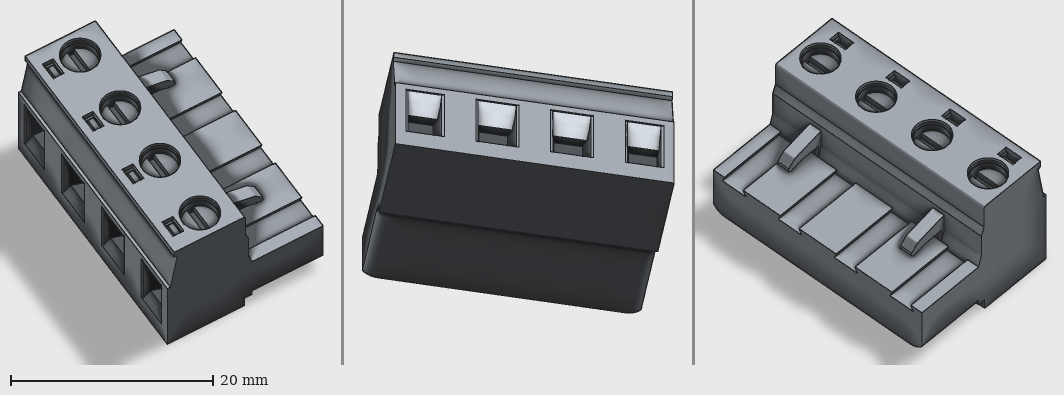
import cadquery as cq


LENGTH = 28.0
DEPTH = 18.1
HEIGHT = 15.05
MID_X = LENGTH / 2

POLES = 4
PITCH = 7.5
FIRST_POLE_X = MID_X - PITCH * (POLES - 1) / 2
POLE_XS = [FIRST_POLE_X + i * PITCH for i in range(POLES)]

SHOULDER_Z = 9.45
SHOULDER_Y = 0.36
SLOPE_TOP_Y = 1.15
SLOPE_TOP_Z = 14.1
EAVE_Y = 0.8
EAVE_Z = 14.3
REAR_Y = 9.05
REAR_EDGE_RADIUS = 0.3
REAR_BULGE_Y = 9.45
REAR_BULGE_TOP_Z = 11.05
REAR_BULGE_BOTTOM_Z = 8.1
REAR_TAPER_TOP_Z = 12.07
STEP_Y = 8.95

NOSE_START_Y = 9.84
NOSE_TOP_Z = 6.82
NOSE_STEP_Z = 1.26
NOSE_SIDE_Z = 1.86
NOSE_BOTTOM_Z = 1.03
NOSE_ROUND_RUN = 1.6

GROOVE_WIDTH = 2.55
GROOVE_DEPTH = 0.7
GROOVE_UNDERCUT = 0.25

LEVER_WIDTH = 1.5
LEVER_OFFSET = 8.25
LEVER_ROOT_TOP_Z = 10.39
LEVER_BOTTOM_Z = 8.45
LEVER_KNEE_START = (13.1, 9.5)
LEVER_KNEE_MID = (13.3, 9.43)
LEVER_KNEE_END = (13.45, 9.3)
LEVER_TIP_TOP = (14.17, 8.62)
LEVER_TIP_MID = (14.2, 8.3)
LEVER_TIP_BOTTOM = (13.95, 8.08)
LEVER_HOOK_BACK = (13.5, 8.08)
LEVER_HOOK_BEND = (12.83, 8.32)
LEVER_HOOK_ROOT_Y = 12.1

ENTRY_WIDTH = 4.32
ENTRY_BOTTOM_Z = 2.17
ENTRY_TOP_Z = 8.65
ENTRY_DEPTH = 2.2
MOUTH_BEVEL = 0.24
MOUTH_BEVEL_DEPTH = 0.14
SILL_Y = 0.32
SILL_Z = 2.5
FLOOR_Y = 0.91
FLOOR_Z = 2.97
LINTEL_Y = 0.8
LINTEL_Z = 7.4
CEILING_Y = 1.35
CEILING_Z = 6.3
END_WALL = 1.05
ENTRY_WALL_BENDS = [(1.89, 0.75), (1.73, 1.33), (1.43, ENTRY_DEPTH)]

SCREW_Y = 5.48
HOLE_RADIUS = 2.05
HOLE_THROAT_RADIUS = 1.95
HOLE_CHAMFER_DEPTH = 0.2
HOLE_THROAT_DEPTH = 0.6
SCREW_RADIUS = 1.86
SCREW_TOP_DEPTH = 1.45
SLOT_WIDTH = 0.8
SLOT_DEPTH = 0.8

POCKET_Y_MIN = 1.73
POCKET_Y_MAX = 2.97
POCKET_WIDTH = 2.04
POCKET_DEPTH = 0.65
WELL_WIDTH = 1.58
WELL_Y_MAX = 2.85
WELL_LEVEL_DEPTH = 0.75
WELL_BEND_Y = 2.25
WELL_DEPTH = 1.75
WELL_BOW_Y = 1.93
WELL_BOW_DEPTH = 1.1


def extrude_along_x(points, x_min, x_max):
    """Closed YZ outline extruded between two X positions."""
    outline = cq.Workplane("YZ", origin=(x_min, 0, 0)).polyline(points).close()
    return outline.extrude(x_max - x_min)


def box_between(x_range, y_range, z_range):
    """Axis-aligned box from its limits."""
    sizes = [hi - lo for lo, hi in (x_range, y_range, z_range)]
    corner = (x_range[0], y_range[0], z_range[0])
    return cq.Workplane("XY", origin=corner).box(*sizes, centered=False)


def make_housing():
    profile = [
        (0, 0),
        (0, SHOULDER_Z),
        (SHOULDER_Y, SHOULDER_Z),
        (SLOPE_TOP_Y, SLOPE_TOP_Z),
        (EAVE_Y, EAVE_Z),
        (EAVE_Y, HEIGHT),
        (REAR_Y, HEIGHT),
        (REAR_Y, REAR_TAPER_TOP_Z),
        (REAR_BULGE_Y, REAR_BULGE_TOP_Z),
        (REAR_BULGE_Y, REAR_BULGE_BOTTOM_Z),
        (NOSE_START_Y, NOSE_TOP_Z),
        (NOSE_START_Y, NOSE_STEP_Z),
        (STEP_Y, NOSE_STEP_Z),
        (STEP_Y, 0),
    ]
    housing = extrude_along_x(profile, 0, LENGTH)
    top_rear_edge = cq.selectors.NearestToPointSelector((MID_X, REAR_Y, HEIGHT))
    return housing.edges(top_rear_edge).fillet(REAR_EDGE_RADIUS)


def make_nose():
    right_half = (
        cq.Workplane("XZ", origin=(0, DEPTH, 0))
        .moveTo(MID_X, NOSE_BOTTOM_Z)
        .lineTo(LENGTH - NOSE_ROUND_RUN, NOSE_BOTTOM_Z)
        .tangentArcPoint((LENGTH, NOSE_SIDE_Z), relative=False)
        .lineTo(LENGTH, NOSE_TOP_Z)
        .lineTo(MID_X, NOSE_TOP_Z)
        .close()
        .extrude(DEPTH - NOSE_START_Y)
    )
    return right_half.union(right_half.mirror("YZ", (MID_X, 0, 0)))


def make_groove(pole_x):
    half_top = GROOVE_WIDTH / 2
    half_floor = half_top + GROOVE_UNDERCUT
    floor_z = NOSE_TOP_Z - GROOVE_DEPTH
    section = [
        (pole_x - half_top, NOSE_TOP_Z),
        (pole_x - half_floor, floor_z),
        (pole_x + half_floor, floor_z),
        (pole_x + half_top, NOSE_TOP_Z),
    ]
    plane = cq.Workplane("XZ", origin=(0, DEPTH, 0))
    return plane.polyline(section).close().extrude(DEPTH - NOSE_START_Y)


def make_lever(centre_x):
    """Latch arm reaching over the nose, with a rounded hooked tip."""
    outline = (
        cq.Workplane("YZ", origin=(centre_x - LEVER_WIDTH / 2, 0, 0))
        .moveTo(REAR_Y, NOSE_TOP_Z)
        .lineTo(REAR_Y, LEVER_ROOT_TOP_Z)
        .lineTo(REAR_BULGE_Y, LEVER_ROOT_TOP_Z)
        .lineTo(*LEVER_KNEE_START)
        .threePointArc(LEVER_KNEE_MID, LEVER_KNEE_END)
        .lineTo(*LEVER_TIP_TOP)
        .threePointArc(LEVER_TIP_MID, LEVER_TIP_BOTTOM)
        .lineTo(*LEVER_HOOK_BACK)
        .lineTo(*LEVER_HOOK_BEND)
        .lineTo(LEVER_HOOK_ROOT_Y, LEVER_BOTTOM_Z)
        .lineTo(NOSE_START_Y, LEVER_BOTTOM_Z)
        .lineTo(NOSE_START_Y, NOSE_TOP_Z)
        .close()
    )
    return outline.extrude(LEVER_WIDTH)


def make_wire_entry(pole_x):
    """Funnel: a sloped side profile limited by a narrowing plan outline."""
    half_mouth = ENTRY_WIDTH / 2
    profile = [
        (0, ENTRY_BOTTOM_Z),
        (SILL_Y, SILL_Z),
        (FLOOR_Y, FLOOR_Z),
        (ENTRY_DEPTH, FLOOR_Z),
        (ENTRY_DEPTH, CEILING_Z),
        (CEILING_Y, CEILING_Z),
        (LINTEL_Y, LINTEL_Z),
        (MOUTH_BEVEL_DEPTH, ENTRY_TOP_Z),
        (0, ENTRY_TOP_Z),
    ]
    funnel = extrude_along_x(profile, pole_x - half_mouth, pole_x + half_mouth)
    half_plan = [(half_mouth, 0), (half_mouth - MOUTH_BEVEL, MOUTH_BEVEL_DEPTH)] + ENTRY_WALL_BENDS
    right_wall = [(pole_x + half, y) for half, y in half_plan]
    left_wall = [(pole_x - half, y) for half, y in reversed(half_plan)]
    plan = cq.Workplane("XY").polyline(right_wall + left_wall).close().extrude(HEIGHT)
    return funnel.intersect(plan).intersect(make_end_limits())


def make_end_limits():
    """Space between the two end walls, with bevelled front edges."""
    inner_wall = END_WALL + MOUTH_BEVEL
    outline = [
        (END_WALL, 0),
        (inner_wall, MOUTH_BEVEL_DEPTH),
        (inner_wall, ENTRY_DEPTH),
        (LENGTH - inner_wall, ENTRY_DEPTH),
        (LENGTH - inner_wall, MOUTH_BEVEL_DEPTH),
        (LENGTH - END_WALL, 0),
    ]
    return cq.Workplane("XY").polyline(outline).close().extrude(HEIGHT)


def make_screw_hole(pole_x):
    """Stepped round hole ending at the slotted screw head."""
    screw_z = HEIGHT - SCREW_TOP_DEPTH
    throat_z = HEIGHT - HOLE_THROAT_DEPTH
    chamfer_z = HEIGHT - HOLE_CHAMFER_DEPTH
    half_section = [
        (0, HEIGHT),
        (HOLE_RADIUS, HEIGHT),
        (HOLE_THROAT_RADIUS, chamfer_z),
        (HOLE_THROAT_RADIUS, throat_z),
        (SCREW_RADIUS, throat_z),
        (SCREW_RADIUS, screw_z),
        (0, screw_z),
    ]
    hole = (
        cq.Workplane("XZ", origin=(pole_x, SCREW_Y, 0))
        .polyline(half_section)
        .close()
        .revolve(360, (0, 0, 0), (0, 1, 0))
    )
    slot = (
        cq.Workplane("XY", origin=(pole_x, SCREW_Y, screw_z - SLOT_DEPTH))
        .rect(2 * SCREW_RADIUS, SLOT_WIDTH)
        .extrude(SLOT_DEPTH)
    )
    head = cq.Workplane("XY", origin=(pole_x, SCREW_Y, 0)).circle(SCREW_RADIUS).extrude(HEIGHT)
    return hole.union(slot.intersect(head))


def make_test_pocket(pole_x):
    """Rectangular pocket with a narrower well whose bowed floor falls to the front."""
    ledge_z = HEIGHT - POCKET_DEPTH
    level_z = HEIGHT - WELL_LEVEL_DEPTH
    half_width = POCKET_WIDTH / 2
    pocket = box_between(
        (pole_x - half_width, pole_x + half_width),
        (POCKET_Y_MIN, POCKET_Y_MAX),
        (ledge_z, HEIGHT),
    )
    well = (
        cq.Workplane("YZ", origin=(pole_x - WELL_WIDTH / 2, 0, 0))
        .moveTo(WELL_Y_MAX, ledge_z)
        .lineTo(WELL_Y_MAX, level_z)
        .lineTo(WELL_BEND_Y, level_z)
        .threePointArc((WELL_BOW_Y, HEIGHT - WELL_BOW_DEPTH), (POCKET_Y_MIN, HEIGHT - WELL_DEPTH))
        .lineTo(POCKET_Y_MIN, ledge_z)
        .close()
        .extrude(WELL_WIDTH)
    )
    return pocket.union(well)


result = make_housing().union(make_nose())
for lever_x in (MID_X - LEVER_OFFSET, MID_X + LEVER_OFFSET):
    result = result.union(make_lever(lever_x))
for pole_x in POLE_XS:
    result = result.cut(make_groove(pole_x))
    result = result.cut(make_wire_entry(pole_x))
    result = result.cut(make_screw_hole(pole_x))
    result = result.cut(make_test_pocket(pole_x))